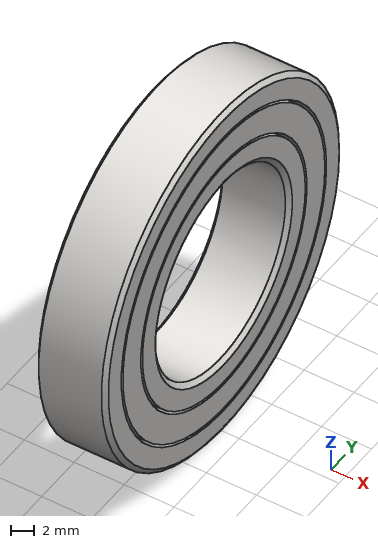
import cadquery as cq

WIDTH = 7.0
OUTER_DIAMETER = 36.5
BORE_DIAMETER = 20.0
OUTER_RACE_INSIDE_DIAMETER = 31.5
INNER_RACE_OUTSIDE_DIAMETER = 25.0
CLEARANCE = 0.25
CHAMFER_RADIAL = 0.5
CHAMFER_AXIAL = 0.35

OUTER_RADIUS = OUTER_DIAMETER / 2
BORE_RADIUS = BORE_DIAMETER / 2
OUTER_RACE_INSIDE = OUTER_RACE_INSIDE_DIAMETER / 2
INNER_RACE_OUTSIDE = INNER_RACE_OUTSIDE_DIAMETER / 2
HALF_WIDTH = WIDTH / 2


def revolve_about_x(profile):
    """Revolve a closed (axial, radial) outline about the X axis."""
    return cq.Workplane("XY").polyline(profile).close().revolve(360, (0, 0, 0), (1, 0, 0))


def chamfered_race(plain_radius, chamfered_radius):
    """Ring whose two edges at chamfered_radius are bevelled towards plain_radius."""
    radial_step = CHAMFER_RADIAL if plain_radius > chamfered_radius else -CHAMFER_RADIAL
    shoulder_radius = chamfered_radius + radial_step
    land = HALF_WIDTH - CHAMFER_AXIAL
    return revolve_about_x([
        (-HALF_WIDTH, plain_radius),
        (HALF_WIDTH, plain_radius),
        (HALF_WIDTH, shoulder_radius),
        (land, chamfered_radius),
        (-land, chamfered_radius),
        (-HALF_WIDTH, shoulder_radius),
    ])


def plain_ring(inside_radius, outside_radius):
    """Square-edged ring of full width."""
    return revolve_about_x([
        (-HALF_WIDTH, inside_radius),
        (HALF_WIDTH, inside_radius),
        (HALF_WIDTH, outside_radius),
        (-HALF_WIDTH, outside_radius),
    ])


outer_race = chamfered_race(OUTER_RACE_INSIDE, OUTER_RADIUS)
inner_race = chamfered_race(INNER_RACE_OUTSIDE, BORE_RADIUS)
middle_ring = plain_ring(INNER_RACE_OUTSIDE + CLEARANCE, OUTER_RACE_INSIDE - CLEARANCE)

result = cq.Compound.makeCompound([outer_race.val(), inner_race.val(), middle_ring.val()])